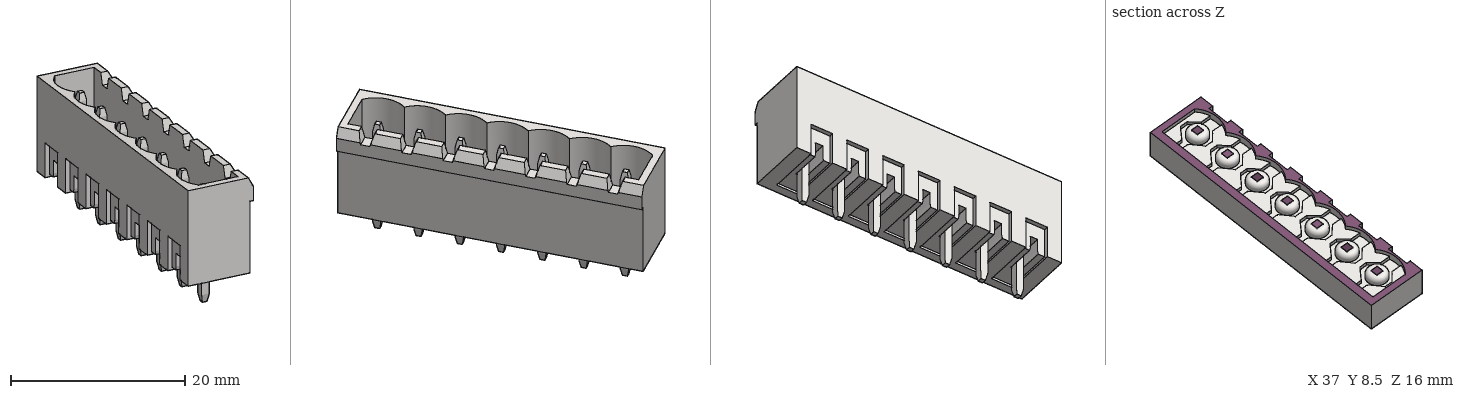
import cadquery as cq
import math

pin_count = 7
pitch = 5.0
end_margin = 3.5
pin_y = 3.85
pin_x_positions = [(i - (pin_count - 1) / 2) * pitch for i in range(pin_count)]

length = (pin_count - 1) * pitch + 2 * end_margin
height = 12.0
depth = 8.05
lip_depth = 8.5
lip_height = 3.0
lip_chamfer_y = 0.65
lip_chamfer_z = 1.2

end_wall = 0.9
front_wall = 0.83
cusp_y = 1.75
rear_wall_y = 6.95
floor_z = 3.5

recess_depth = 0.5
recess_half_width = 2.1
recess_side_start_y = 3.5
recess_side_end_y = 4.55
front_channel_half_width = 0.95
front_channel_end_y = 2.35
rear_channel_half_width = 0.5
rear_channel_start_y = 5.85
recess_z = floor_z - recess_depth

boss_diameter = 2.8
boss_rounding = 0.6
boss_height = 1.0

notch_top_width = 1.9
notch_bottom_width = 1.1
notch_depth = 1.45

pocket_width = 3.0
pocket_height = 4.35
pocket_depth = 0.55
foot_clearance = 0.33
foot_relief_end_y = rear_wall_y

pin_width = 1.0
pin_tip_width = 0.6
pin_taper = 1.0
pin_bottom_z = -4.0
pin_top_z = 10.6

slot_height = 2.45
slot_flare = 0.1
slot_flare_height = 0.45


def make_shell():
    """Long block whose section carries the chamfered rear lip."""
    section = [
        (0, 0),
        (depth, 0),
        (depth, height - lip_height),
        (lip_depth, height - lip_height),
        (lip_depth, height - lip_chamfer_z),
        (lip_depth - lip_chamfer_y, height),
        (0, height),
    ]
    return cq.Workplane("YZ").polyline(section).close().extrude(length / 2, both=True)


def make_cavity():
    """Cavity with a scallop in its front wall before each contact."""
    left_x = -length / 2 + end_wall
    half_pitch = pitch / 2
    rise = cusp_y - front_wall
    scallop_radius = (half_pitch**2 + rise**2) / (2 * rise)
    scallop_centre_y = front_wall + scallop_radius
    end_offset = end_margin - end_wall
    end_y = scallop_centre_y - math.sqrt(scallop_radius**2 - end_offset**2)

    outline = cq.Workplane("XY", origin=(0, 0, floor_z)).moveTo(left_x, rear_wall_y).lineTo(left_x, end_y)
    for index, x in enumerate(pin_x_positions):
        is_last = index == pin_count - 1
        arc_end = (-left_x, end_y) if is_last else (x + half_pitch, cusp_y)
        outline = outline.threePointArc((x, front_wall), arc_end)
    return outline.lineTo(-left_x, rear_wall_y).close().extrude(height - floor_z)


def make_floor_recess(x, cavity):
    """Octagonal recess with a wide channel to the front and a narrow one to the rear."""
    right_side = [
        (front_channel_half_width, front_wall),
        (front_channel_half_width, front_channel_end_y),
        (recess_half_width, recess_side_start_y),
        (recess_half_width, recess_side_end_y),
        (rear_channel_half_width, rear_channel_start_y),
        (rear_channel_half_width, rear_wall_y),
    ]
    left_side = [(-offset, y) for offset, y in reversed(right_side)]
    keyhole = cq.Workplane("XY", origin=(x, 0, recess_z)).polyline(right_side + left_side).close()
    cavity_depth = height - recess_z
    return keyhole.extrude(cavity_depth).intersect(cavity.translate((0, 0, -recess_depth)))


def make_boss(x):
    boss = cq.Workplane("XY", origin=(x, pin_y, recess_z)).circle(boss_diameter / 2).extrude(boss_height)
    return boss.faces(">Z").edges().fillet(boss_rounding)


def make_notch(x):
    bottom_z = height - notch_depth
    outline = [
        (-notch_bottom_width / 2, bottom_z),
        (notch_bottom_width / 2, bottom_z),
        (notch_top_width / 2, height),
        (-notch_top_width / 2, height),
    ]
    notch = cq.Workplane("XZ", origin=(x, rear_wall_y, 0)).polyline(outline).close()
    return notch.extrude(rear_wall_y - lip_depth)


def make_foot_pocket(x):
    """Shallow front pocket together with the low relief that runs under the housing."""
    pocket = cq.Workplane("XY").box(pocket_width, pocket_depth, pocket_height, centered=(True, False, False))
    relief = cq.Workplane("XY").box(
        pocket_width, foot_relief_end_y, foot_clearance, centered=(True, False, False)
    )
    return pocket.union(relief).translate((x, 0, 0))


def make_pin_slot(x):
    """Slot from the pocket to the back of the pin, flared where it meets the relief."""
    half_width = pin_width / 2
    flare_top_z = foot_clearance + slot_flare_height
    right_side = [
        (half_width + slot_flare, foot_clearance),
        (half_width, flare_top_z),
        (half_width, slot_height),
    ]
    left_side = [(-offset, z) for offset, z in reversed(right_side)]
    slot = cq.Workplane("XZ", origin=(x, 0, 0)).polyline(right_side + left_side).close()
    return slot.extrude(-(pin_y + half_width))


def make_pin(x):
    """Square pin tapered at both ends."""
    body_bottom_z = pin_bottom_z + pin_taper
    body_top_z = pin_top_z - pin_taper
    body_length = body_top_z - body_bottom_z
    taper_angle = math.degrees(math.atan((pin_width - pin_tip_width) / 2 / pin_taper))
    body = cq.Workplane("XY", origin=(x, pin_y, body_bottom_z)).rect(pin_width, pin_width).extrude(body_length)
    for end in (">Z", "<Z"):
        end_face = body.faces(end).workplane().rect(pin_width, pin_width)
        body = end_face.extrude(pin_taper, taper=taper_angle)
    return body


pins = [make_pin(x) for x in pin_x_positions]

cavity = make_cavity()
housing = make_shell().cut(cavity)
for x, pin in zip(pin_x_positions, pins):
    housing = housing.cut(make_floor_recess(x, cavity)).union(make_boss(x))
    housing = housing.cut(make_notch(x)).cut(make_foot_pocket(x)).cut(make_pin_slot(x))
    housing = housing.cut(pin)

result = cq.Compound.makeCompound([housing.val(), *[pin.val() for pin in pins]])